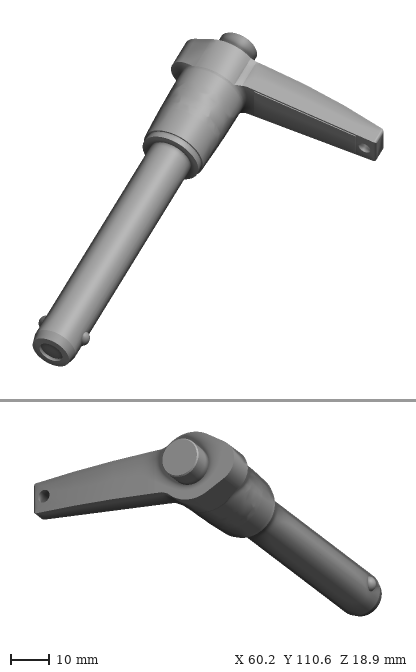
import cadquery as cq
import math

BUTTON_TOP = 110.6
HEAD_TOP = 104.1
HEAD_BOTTOM = 95.8
SLEEVE_TOP = 93.6
SLEEVE_SEAM = 79.5
SLEEVE_BOTTOM = 71.9
COLLAR_BOTTOM = 70.1
BALL_Y = 7.9

PIN_RADIUS = 12.1 / 2
TIP_RADIUS = 10.7 / 2
TIP_LENGTH = 2.4
TIP_RECESS_DIAMETER = 6.7
TIP_RECESS_DEPTH = 0.9
BUTTON_RADIUS = 10.7 / 2
BUTTON_CHAMFER = 0.3
COLLAR_RADIUS = 16.4 / 2

BALL_RADIUS = 2.1
BALL_REACH = 7.3

HEAD_RADIUS = 18.9 / 2
SLEEVE_TOP_RADIUS = 18.7 / 2
SLEEVE_BULGE_RADIUS = 353.9
NOSE_RADIUS = 6.1
OVERALL_X = 60.2
HEAD_LEFT = -12.7
NOSE_X = HEAD_LEFT + NOSE_RADIUS
FLARE_RADIUS = HEAD_BOTTOM - SLEEVE_TOP

LEVER_END = OVERALL_X + HEAD_LEFT
LEVER_ROOT_X = 8.3
LEVER_ROOT_HALF = 6.1
LEVER_END_HALF = 4.2
LEVER_SHOULDER_X = 6.6
LEVER_FLAT_END = 10.5
LEVER_END_TOP = 100.6
LEVER_EDGE_ROUND = 0.8
PAD_START = 11.7
PAD_END = 41.6
PAD_INSET = 0.5
PAD_HEIGHT = 0.2
HOLE_DIAMETER = 3.5
HOLE_X = 44.1


def along_y(y):
    """Sketch plane at height y, with X to the right, Z up and extrusion toward -Y."""
    return cq.Workplane("XZ", origin=(0, y, 0))


def sleeve_radius(y):
    """Radius of the gently bulged sleeve, which is widest at its top."""
    drop = SLEEVE_TOP - y
    return SLEEVE_TOP_RADIUS - SLEEVE_BULGE_RADIUS + math.sqrt(SLEEVE_BULGE_RADIUS**2 - drop**2)


def lever_half_width(x):
    """Half the lever width at x; the sides taper evenly to the end."""
    fraction = (x - LEVER_ROOT_X) / (LEVER_END - LEVER_ROOT_X)
    return LEVER_ROOT_HALF + fraction * (LEVER_END_HALF - LEVER_ROOT_HALF)


def make_pin():
    """Pin, collar, bulged sleeve and push button, turned about the Y axis."""
    profile = (
        cq.Workplane("XY")
        .lineTo(TIP_RADIUS, 0)
        .lineTo(PIN_RADIUS, TIP_LENGTH)
        .lineTo(PIN_RADIUS, COLLAR_BOTTOM)
        .lineTo(COLLAR_RADIUS, COLLAR_BOTTOM)
        .lineTo(COLLAR_RADIUS, SLEEVE_BOTTOM)
        .lineTo(sleeve_radius(SLEEVE_BOTTOM), SLEEVE_BOTTOM)
        .radiusArc((sleeve_radius(SLEEVE_SEAM), SLEEVE_SEAM), -SLEEVE_BULGE_RADIUS)
        .radiusArc((SLEEVE_TOP_RADIUS, SLEEVE_TOP), -SLEEVE_BULGE_RADIUS)
        .lineTo(BUTTON_RADIUS, SLEEVE_TOP)
        .lineTo(BUTTON_RADIUS, BUTTON_TOP - BUTTON_CHAMFER)
        .lineTo(BUTTON_RADIUS - BUTTON_CHAMFER, BUTTON_TOP)
        .lineTo(0, BUTTON_TOP)
        .close()
    )
    return profile.revolve(360, (0, 0, 0), (0, 1, 0))


def make_outline():
    """Plan shape of head and lever, as a prism down to the sleeve."""
    flank_cos = (HEAD_RADIUS - NOSE_RADIUS) / NOSE_X
    flank_sin = math.sqrt(1 - flank_cos**2)
    head_touch = (HEAD_RADIUS * flank_cos, HEAD_RADIUS * flank_sin)
    nose_touch = (NOSE_X + NOSE_RADIUS * flank_cos, NOSE_RADIUS * flank_sin)
    shoulder_start = (LEVER_SHOULDER_X, math.sqrt(HEAD_RADIUS**2 - LEVER_SHOULDER_X**2))
    return (
        along_y(HEAD_TOP)
        .moveTo(*nose_touch)
        .lineTo(*head_touch)
        .threePointArc((0, HEAD_RADIUS), shoulder_start)
        .lineTo(LEVER_ROOT_X, LEVER_ROOT_HALF)
        .lineTo(LEVER_END, LEVER_END_HALF)
        .lineTo(LEVER_END, -LEVER_END_HALF)
        .lineTo(LEVER_ROOT_X, -LEVER_ROOT_HALF)
        .lineTo(shoulder_start[0], -shoulder_start[1])
        .threePointArc((0, -HEAD_RADIUS), (head_touch[0], -head_touch[1]))
        .lineTo(nose_touch[0], -nose_touch[1])
        .threePointArc((HEAD_LEFT, 0), nose_touch)
        .close()
        .extrude(HEAD_TOP - SLEEVE_TOP)
    )


def make_side_shape():
    """Head and lever seen along Z: flat underside, back curving down to the end."""
    return (
        cq.Workplane("XY")
        .moveTo(HEAD_LEFT, HEAD_BOTTOM)
        .lineTo(HEAD_LEFT, HEAD_TOP)
        .lineTo(LEVER_FLAT_END, HEAD_TOP)
        .tangentArcPoint((LEVER_END, LEVER_END_TOP), relative=False)
        .lineTo(LEVER_END, HEAD_BOTTOM)
        .close()
        .extrude(HEAD_RADIUS, both=True)
    )


def make_flare():
    """Concave flare that joins the sleeve to the underside of the head."""
    return (
        cq.Workplane("XY")
        .moveTo(0, SLEEVE_TOP)
        .lineTo(SLEEVE_TOP_RADIUS, SLEEVE_TOP)
        .radiusArc((SLEEVE_TOP_RADIUS + FLARE_RADIUS, HEAD_BOTTOM), FLARE_RADIUS)
        .lineTo(0, HEAD_BOTTOM)
        .close()
        .revolve(360, (0, 0, 0), (0, 1, 0))
    )


def make_head():
    outline = make_outline()
    lever = outline.intersect(make_side_shape())
    lever = lever.faces(">X").edges().fillet(LEVER_EDGE_ROUND)
    return lever.union(outline.intersect(make_flare()))


def make_pad():
    """Thin tapered pad raised on the underside of the lever."""
    start_half = lever_half_width(PAD_START) - PAD_INSET
    end_half = lever_half_width(PAD_END) - PAD_INSET
    corners = [
        (PAD_START, -start_half),
        (PAD_END, -end_half),
        (PAD_END, end_half),
        (PAD_START, start_half),
    ]
    return along_y(HEAD_BOTTOM).polyline(corners).close().extrude(PAD_HEIGHT)


def make_balls():
    """Two locking balls on opposite sides of the pin."""
    ball_x = BALL_REACH - BALL_RADIUS
    centers = [(-ball_x, BALL_Y, 0), (ball_x, BALL_Y, 0)]
    return cq.Workplane("XY").pushPoints(centers).sphere(BALL_RADIUS)


keyring_hole = along_y(HEAD_TOP).center(HOLE_X, 0).circle(HOLE_DIAMETER / 2).extrude(HEAD_TOP - SLEEVE_TOP)
tip_recess = along_y(TIP_RECESS_DEPTH).circle(TIP_RECESS_DIAMETER / 2).extrude(TIP_RECESS_DEPTH)

result = make_pin().union(make_head()).union(make_pad()).union(make_balls())
result = result.cut(keyring_hole).cut(tip_recess)